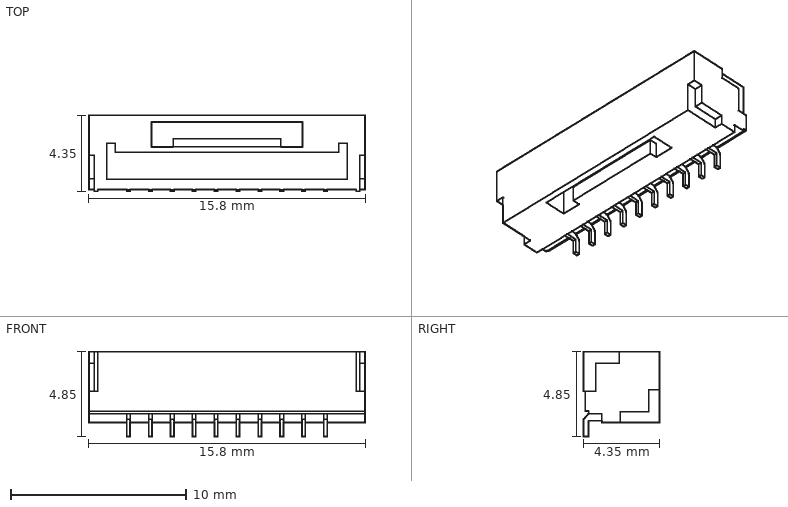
import cadquery as cq

length = 15.75
depth = 4.25
height = 4.05

lip_depth = 0.2
lip_height = 0.66
relief_depth = 0.96
relief_height = 0.52

slot_length = 13.75
slot_wall = 0.58
slot_back = 2.14
ear_length = 0.49
ear_back = 2.66
slot_floor = 1.0

window_length = 8.6
window_front = 2.44
window_depth = 1.42
ledge_length = 6.15
ledge_depth = 0.47
ledge_height = slot_floor

pocket_inset = 0.3
pocket_depth = 1.95
pocket_arm = 0.66
pocket_leg = 0.61
pocket_height = 2.27
rib_thickness = 0.2
rib_projection = 0.1

notch_inset = pocket_inset + rib_thickness
notch_depth = 2.24
notch_arm = 0.61
notch_leg = 0.61
notch_height = 1.89

pin_count = 10
pin_row_length = 11.25
pin_pitch = pin_row_length / (pin_count - 1)
pin_width = 0.2
pin_arm_bottom = 0.1
pin_front = -rib_projection
pin_drop = 0.8
pin_bend = 0.33


def extrude_profile(points, x_start, thickness):
    """Extrude a (Y, Z) outline along +X from x_start."""
    return cq.Workplane("YZ", origin=(x_start, 0, 0)).polyline(points).close().extrude(thickness)


def block(x_size, y_start, y_size, z_start, z_size):
    """Make a box centred in X and placed by its lower front edge."""
    base = cq.Workplane("XY", origin=(0, y_start, z_start))
    return base.box(x_size, y_size, z_size, centered=(True, False, False))


def add_mirrored(shape):
    """Join a shape with its mirror image at the other end of the housing."""
    return shape.union(shape.mirror("YZ"))


def make_body():
    outline = [
        (0, height),
        (0, lip_height),
        (lip_depth, lip_height),
        (lip_depth, relief_height),
        (relief_depth, relief_height),
        (relief_depth, 0),
        (depth, 0),
        (depth, height),
    ]
    return extrude_profile(outline, -length / 2, length)


def make_slot():
    slot_depth = height - slot_floor
    main = block(slot_length, slot_wall, slot_back - slot_wall, slot_floor, slot_depth)
    ear = block(ear_length, slot_wall, ear_back - slot_wall, slot_floor, slot_depth)
    ear = ear.translate((-(slot_length - ear_length) / 2, 0, 0))
    return main.union(add_mirrored(ear))


def make_window():
    opening = block(window_length, window_front, window_depth, 0, height)
    ledge = block(ledge_length, window_front, ledge_depth, 0, ledge_height)
    return opening.cut(ledge)


def make_end_pockets():
    pocket_bottom = height - pocket_height
    arm_bottom = height - pocket_arm
    outline = [
        (0, height),
        (pocket_depth, height),
        (pocket_depth, arm_bottom),
        (pocket_leg, arm_bottom),
        (pocket_leg, pocket_bottom),
        (0, pocket_bottom),
    ]
    return add_mirrored(extrude_profile(outline, -length / 2, pocket_inset))


def make_front_ribs():
    rib = block(rib_thickness, -rib_projection, rib_projection, height - pocket_height, pocket_height)
    rib_centre = -length / 2 + pocket_inset + rib_thickness / 2
    return add_mirrored(rib.translate((rib_centre, 0, 0)))


def make_back_notches():
    notch_front = depth - notch_depth
    leg_front = depth - notch_leg
    outline = [
        (depth, 0),
        (notch_front, 0),
        (notch_front, notch_arm),
        (leg_front, notch_arm),
        (leg_front, notch_height),
        (depth, notch_height),
    ]
    return add_mirrored(extrude_profile(outline, -length / 2, notch_inset))


def make_pin(x_centre):
    outline = [
        (relief_depth, relief_height),
        (lip_depth, relief_height),
        (pin_front, relief_height - pin_bend),
        (pin_front, -pin_drop),
        (lip_depth, -pin_drop),
        (lip_depth, pin_arm_bottom),
        (relief_depth, pin_arm_bottom),
    ]
    return extrude_profile(outline, x_centre - pin_width / 2, pin_width)


result = make_body()
result = result.cut(make_slot()).cut(make_window())
result = result.cut(make_end_pockets()).cut(make_back_notches())
result = result.union(make_front_ribs())

for index in range(pin_count):
    result = result.union(make_pin(index * pin_pitch - pin_row_length / 2))